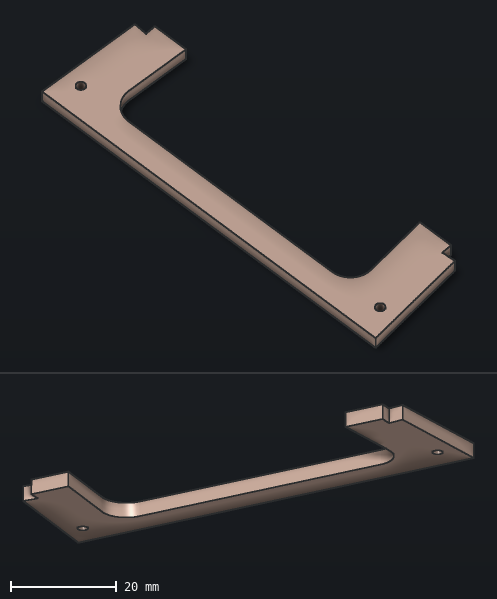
import cadquery as cq
import math

base_width = 86.38
depth = 26.0
thickness = 3.0

lean_angle = 4.2
lean_slope = math.tan(math.radians(lean_angle))
rail_depth = 6.0
opening_top_half_width = 30.25
inner_corner_radius = 5.0

notch_wall_x = 38.35
shoulder_y = 23.78

hole_diameter = 2.0
hole_spacing = 77.5
hole_y = 6.0


def make_frame():
    """U-shaped plate with its long straight edge on Y = 0, symmetric about X = 0."""
    base_half_width = base_width / 2
    shoulder_x = base_half_width - shoulder_y * lean_slope
    notch_floor_y = shoulder_y - (shoulder_x - notch_wall_x) * lean_slope
    opening_bottom_half_width = opening_top_half_width + (depth - rail_depth) * lean_slope

    right_side = [
        (base_half_width, 0),
        (shoulder_x, shoulder_y),
        (notch_wall_x, notch_floor_y),
        (notch_wall_x, depth),
        (opening_top_half_width, depth),
        (opening_bottom_half_width, rail_depth),
    ]
    left_side = [(-x, y) for x, y in reversed(right_side)]
    return cq.Workplane("XY").polyline(right_side + left_side).close().extrude(thickness)


def round_inner_corners(frame):
    """Round the two corners where the arms meet the rail."""
    margin = 1.0
    corner_zone = cq.selectors.BoxSelector(
        (-notch_wall_x, rail_depth - margin, -margin),
        (notch_wall_x, rail_depth + margin, thickness + margin),
    )
    corner_edges = frame.edges("|Z").edges(corner_zone)
    return corner_edges.fillet(inner_corner_radius)


def drill_holes(frame):
    """Drill one through hole at the foot of each arm."""
    hole_centers = [(side * hole_spacing / 2, hole_y) for side in (-1, 1)]
    holes = cq.Workplane("XY").pushPoints(hole_centers).circle(hole_diameter / 2).extrude(thickness)
    return frame.cut(holes)


result = drill_holes(round_inner_corners(make_frame()))